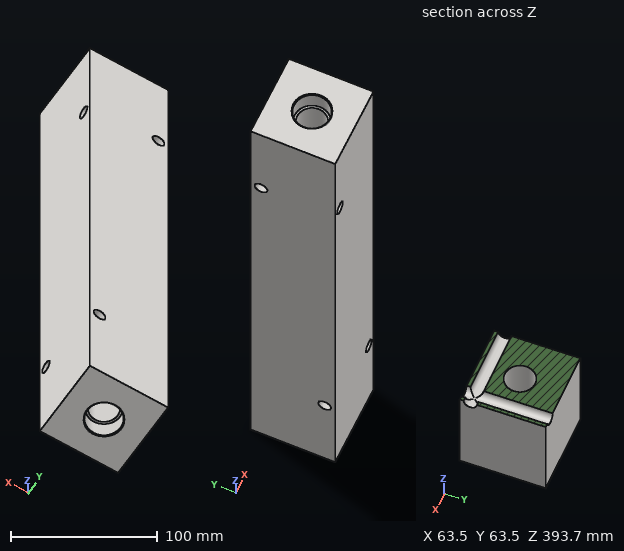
import cadquery as cq

LENGTH = 393.7
WIDTH = 63.5

BORE_DIAMETER = 22.0
MOUTH_DIAMETER = 28.0
MOUTH_CHAMFER = 0.65
SOCKET_DEPTH = 13.8
SOCKET_TAPER = 1 / 16

SOCKET_TOP_DIAMETER = MOUTH_DIAMETER - 2 * MOUTH_CHAMFER
SOCKET_FLOOR_DIAMETER = SOCKET_TOP_DIAMETER - SOCKET_TAPER * (SOCKET_DEPTH - MOUTH_CHAMFER)

CROSS_HOLE_DIAMETER = 9.5
CROSS_HOLE_EDGE_DISTANCE = 8.0
CROSS_HOLE_END_DISTANCE = 69.5

CROSS_HOLE_OFFSET = WIDTH / 2 - CROSS_HOLE_EDGE_DISTANCE
CROSS_HOLE_HEIGHT = LENGTH / 2 - CROSS_HOLE_END_DISTANCE


def upper_socket():
    """Solid of the socket in the top end, revolved about the Z axis."""
    top = LENGTH / 2
    profile = [
        (0, top),
        (MOUTH_DIAMETER / 2, top),
        (SOCKET_TOP_DIAMETER / 2, top - MOUTH_CHAMFER),
        (SOCKET_FLOOR_DIAMETER / 2, top - SOCKET_DEPTH),
        (0, top - SOCKET_DEPTH),
    ]
    return cq.Workplane("XZ").polyline(profile).close().revolve(360, (0, 0), (0, 1))


def cross_holes(plane, upper_side):
    """Pair of cylinders normal to the plane; the upper one lies on the given side of its X direction."""
    centres = [
        (upper_side * CROSS_HOLE_OFFSET, CROSS_HOLE_HEIGHT),
        (-upper_side * CROSS_HOLE_OFFSET, -CROSS_HOLE_HEIGHT),
    ]
    return (
        cq.Workplane(plane)
        .pushPoints(centres)
        .circle(CROSS_HOLE_DIAMETER / 2)
        .extrude(WIDTH / 2, both=True)
    )


bar = cq.Workplane("XY").box(WIDTH, WIDTH, LENGTH)
bar = bar.faces(">Z").workplane().hole(BORE_DIAMETER)

socket = upper_socket()
bar = bar.cut(socket).cut(socket.mirror("XY"))

result = bar.cut(cross_holes("XZ", -1)).cut(cross_holes("YZ", 1))